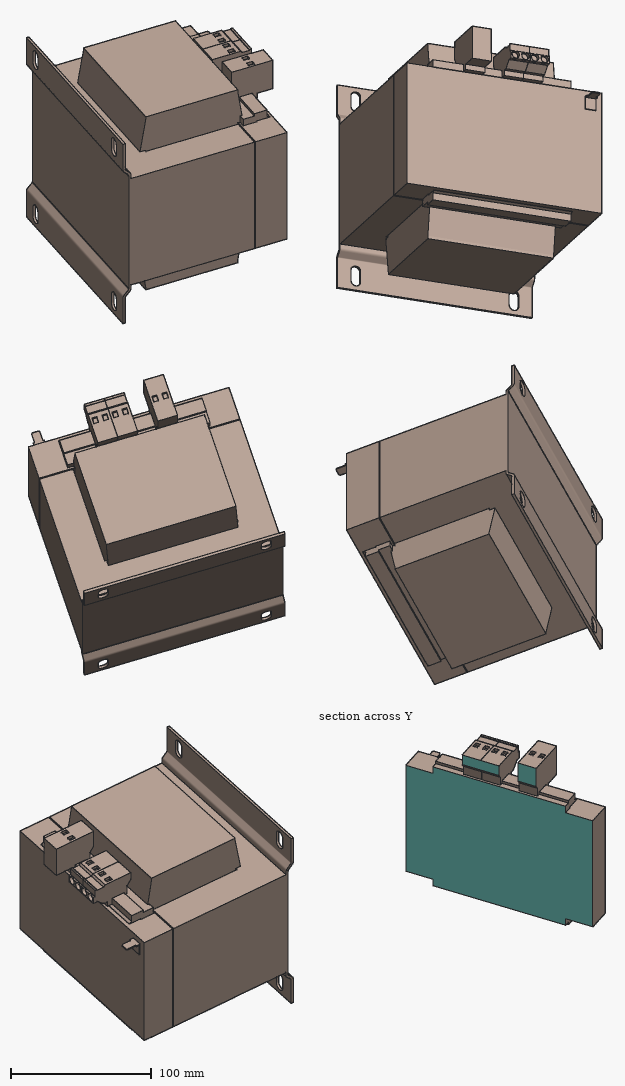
import cadquery as cq
import math


foot_width = 150.0
foot_height = 155.4
foot_thickness = 2.0
foot_joggle = 4.5
foot_bend_z = 54.1
foot_end_z = 48.8
bend_angle = 45
bend_inner_radius = 1.0
back_plate_front = 4.8
slot_width = 7.5
slot_length = 15.0
slot_x = 60.9
slot_z = 66.8

core_width = foot_width
core_height = 92.3
core_front = foot_joggle + foot_thickness
core_back = 131.5
window_width = 99.6
window_front = 31.5
yoke_front = 105.8
seam_width = 0.6
seam_depth = 0.5

coil_width = 96.8
coil_height = 150.0
coil_lip = 2.0
coil_top_front = 32.0
coil_top_back = 105.7
coil_base_front = 27.4
coil_base_back = 109.9

rail_width = 106.5
rail_front = 107.5
rail_step_y = 116.4
rail_step_z = 51.7
rail_top = 53.8
rail_back = 126.7
rail_lip_z = 48.3
rail_toe_back = 128.8
rail_toe_z = 47.2
rail_relief_front = 118.7
rail_relief_z = 47.0

terminal_pitch = 14.9
terminal_width = 14.8
terminal_front = 110.3
terminal_neck_y = 113.8
terminal_back = 143.3
terminal_bottom = 52.4
terminal_side_z = 63.2
terminal_neck_z = 58.6
hook_back = 130.8
low_terminal_top = 69.6
tall_terminal_top = 77.1
low_terminal_x = (-1.5 * terminal_pitch, -0.5 * terminal_pitch)
tall_terminal_x = 1.5 * terminal_pitch

groove_slope_y = 132.9
groove_front = 134.3
groove_back = 140.0
groove_z = 68.2
rim_z = 68.8
ledge_z = 63.1
ledge_front = 141.7
underside_z = 57.3
underside_y = 139.5
underside_slope_y = 134.0

opening_offset = terminal_pitch / 4
screw_pocket_width = 3.4
screw_pocket_length = 4.5
screw_pocket_y = 127.5
screw_pocket_depth = 2.3
wire_hole_breakout = 0.2
wire_hole_radius = 2.8
wire_hole_z = ledge_z - wire_hole_radius + wire_hole_breakout
wire_hole_depth = 3.1

tab_x = -66.0
tab_base_width = 8.2
tab_base_back = 134.9
tab_width = 6.2
tab_back = 142.7
tab_tip_chamfer = 0.8
tab_thickness = 1.0
tab_top = 41.5
tab_plate_bottom = 31.9


def box(x_size, y_range, z_range, x_centre=0.0):
    """Block centred on x_centre that spans the given Y and Z ranges."""
    size = (x_size, y_range[1] - y_range[0], z_range[1] - z_range[0])
    corner = (x_centre - x_size / 2, y_range[0], z_range[0])
    return cq.Workplane("XY").box(*size, centered=False).translate(corner)


def profile_prism(yz_points, width, x_centre=0.0):
    """Extrude a closed Y-Z outline along X, centred on x_centre."""
    prism = cq.Workplane("YZ").polyline(yz_points).close().extrude(width / 2, both=True)
    return prism.translate((x_centre, 0, 0))


def with_mirror_below(body):
    """Join a body with its mirror image across the horizontal mid plane."""
    return body.union(body.mirror("XY"))


def make_core():
    half_height = core_height / 2
    core_z = (-half_height, half_height)
    core = box(core_width, (core_front, core_back), core_z)
    core = core.cut(box(window_width, (window_front, yoke_front), core_z))
    seam_y = (yoke_front - seam_width / 2, yoke_front + seam_width / 2)
    seam = box(core_width, seam_y, core_z)
    inside = box(
        core_width - 2 * seam_depth,
        seam_y,
        (-half_height + seam_depth, half_height - seam_depth),
    )
    return core.cut(seam.cut(inside))


def make_coil():
    base_z = core_height / 2
    top_z = coil_height / 2
    lip_z = top_z - coil_lip
    head = profile_prism(
        [
            (coil_base_front, base_z),
            (coil_top_front, lip_z),
            (coil_top_front, top_z),
            (coil_top_back, top_z),
            (coil_top_back, lip_z),
            (coil_base_back, base_z),
        ],
        coil_width,
    )
    winding = box(coil_width, (window_front, yoke_front), (-base_z, base_z))
    return with_mirror_below(head).union(winding)


def make_foot_plate():
    top_z = foot_height / 2
    joggle_z = foot_bend_z - foot_joggle / math.tan(math.radians(bend_angle))
    inner_shift = foot_thickness * math.tan(math.radians(bend_angle / 2))
    foot = profile_prism(
        [
            (0, top_z),
            (0, foot_bend_z),
            (foot_joggle, joggle_z),
            (foot_joggle, foot_end_z),
            (core_front, foot_end_z),
            (core_front, joggle_z + inner_shift),
            (foot_thickness, foot_bend_z + inner_shift),
            (foot_thickness, top_z),
        ],
        foot_width,
    )

    outer_radius = bend_inner_radius + foot_thickness
    bends = (
        (0, foot_bend_z, outer_radius),
        (foot_thickness, foot_bend_z + inner_shift, bend_inner_radius),
        (foot_joggle, joggle_z, bend_inner_radius),
        (core_front, joggle_z + inner_shift, outer_radius),
    )
    for y, z, radius in bends:
        bend_edge = cq.selectors.NearestToPointSelector((0, y, z))
        foot = foot.edges("|X").edges(bend_edge).fillet(radius)

    slots = (
        cq.Workplane("XZ")
        .pushPoints([(-slot_x, slot_z), (slot_x, slot_z)])
        .slot2D(slot_length, slot_width, 90)
        .extrude(-2 * foot_thickness)
    )
    back_plate = box(foot_width, (back_plate_front, core_front), (-foot_end_z, foot_end_z))
    return with_mirror_below(foot.cut(slots)).union(back_plate)


def make_rails():
    base_z = core_height / 2
    rail = profile_prism(
        [
            (rail_front, base_z),
            (rail_front, rail_step_z),
            (rail_step_y, rail_step_z),
            (rail_step_y, rail_top),
            (rail_back, rail_top),
            (rail_back, rail_lip_z),
            (rail_toe_back, rail_toe_z),
            (rail_toe_back, rail_relief_z),
            (rail_relief_front, rail_relief_z),
            (rail_relief_front, base_z),
        ],
        rail_width,
    )
    return with_mirror_below(rail)


def lower_front_outline():
    """Terminal outline from the hook on the rail round to the front side."""
    return [
        (hook_back, terminal_bottom),
        (hook_back, rail_lip_z),
        (rail_back, rail_lip_z),
        (rail_back, rail_top),
        (rail_step_y, rail_top),
        (rail_step_y, rail_step_z),
        (terminal_neck_y, rail_step_z),
        (terminal_neck_y, terminal_neck_z),
        (terminal_front, terminal_side_z),
    ]


def cut_screw_pockets(terminal, x_centre, top_z):
    pocket_y = (
        screw_pocket_y - screw_pocket_length / 2,
        screw_pocket_y + screw_pocket_length / 2,
    )
    for side in (-1, 1):
        pocket_x = x_centre + side * opening_offset
        pocket = box(screw_pocket_width, pocket_y, (top_z - screw_pocket_depth, top_z), pocket_x)
        terminal = terminal.cut(pocket)
    return terminal


def make_low_terminal(x_centre):
    outline = lower_front_outline() + [
        (terminal_front, low_terminal_top),
        (groove_slope_y, low_terminal_top),
        (groove_front, groove_z),
        (groove_back, groove_z),
        (groove_back, rim_z),
        (ledge_front, rim_z),
        (ledge_front, ledge_z),
        (terminal_back, ledge_z),
        (terminal_back, underside_z),
        (underside_y, underside_z),
        (underside_slope_y, terminal_bottom),
    ]
    terminal = profile_prism(outline, terminal_width, x_centre)
    terminal = cut_screw_pockets(terminal, x_centre, low_terminal_top)
    wire_holes = (
        cq.Workplane("XZ", origin=(x_centre, terminal_back, wire_hole_z))
        .pushPoints([(-opening_offset, 0), (opening_offset, 0)])
        .circle(wire_hole_radius)
        .extrude(wire_hole_depth)
    )
    return terminal.cut(wire_holes)


def make_tall_terminal(x_centre):
    outline = lower_front_outline() + [
        (terminal_front, tall_terminal_top),
        (terminal_back, tall_terminal_top),
        (terminal_back, terminal_bottom),
    ]
    terminal = profile_prism(outline, terminal_width, x_centre)
    return cut_screw_pockets(terminal, x_centre, tall_terminal_top)


def make_earth_tab():
    blade_z = (tab_top - tab_thickness, tab_top)
    plate_y = (core_back, core_back + tab_thickness)
    plate = box(tab_base_width, plate_y, (tab_plate_bottom, tab_top), tab_x)
    base = box(tab_base_width, (core_back, tab_base_back), blade_z, tab_x)
    blade = box(tab_width, (core_back, tab_back), blade_z, tab_x)
    blade = blade.edges("|Z and >Y").chamfer(tab_tip_chamfer)
    return plate.union(base).union(blade)


result = make_core()
bodies = [make_coil(), make_foot_plate(), make_rails()]
bodies += [make_low_terminal(x) for x in low_terminal_x]
bodies += [make_tall_terminal(tall_terminal_x), make_earth_tab()]
for body in bodies:
    result = result.union(body)